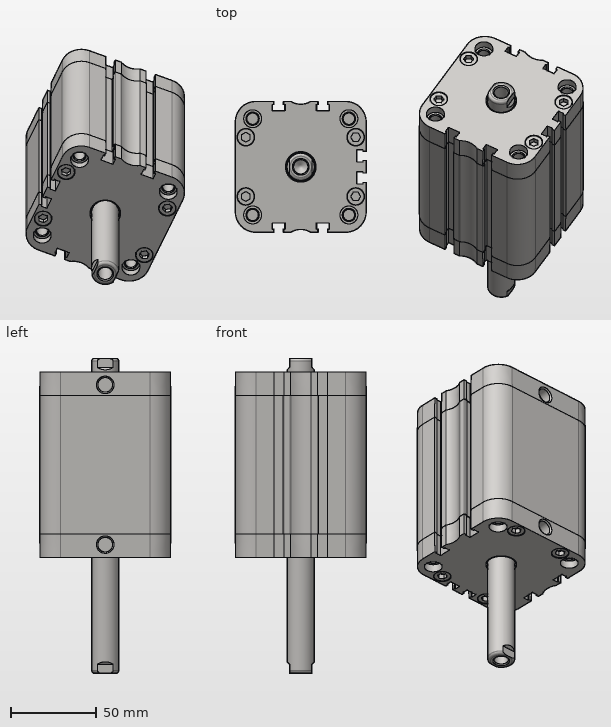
import cadquery as cq
import math


width = 77.0
body_length = 109.0
cap_height = 13.75
tube_length = body_length - 2 * cap_height
corner_radius = 12.2
bore_diameter = 63.0
cap_draft = 0.14
cap_draft_angle = math.degrees(math.atan(cap_draft / cap_height))

groove_half_width = 5.9
groove_depth = 1.7
groove_edge_round = 1.0

slot_depth = 5.5
slot_lip_thickness = 2.0
slot_undercut = 0.8
slot_outer_edge = 15.8
tube_slot_inner_edge = 10.3
tube_slot_edge_round = 0.5
cap_slot_inner_edge = 9.8
side_slot_offset = 6.45
side_slot_width = 5.4

edge_search = 0.1

rod_diameter = 16.0
upper_rod_extension = 8.0
lower_rod_extension = 68.0
rod_length = upper_rod_extension + body_length + lower_rod_extension
rod_end_round = 1.75
flat_across = 13.0
flat_length = 5.3
rod_bore_diameter = 8.38
rod_bore_depth = 20.0
rod_bore_mouth_diameter = 9.8
drill_point_half_angle = 59.0

wiper_recess_diameter = 18.0
wiper_recess_depth = 0.5
wiper_cone_mouth_diameter = 17.7
wiper_cone_end_diameter = 16.54
wiper_cone_depth = 1.0

mount_pitch = 56.5
mount_counterbore_diameter = 10.5
mount_counterbore_depth = 5.0
mount_countersink_diameter = 7.8
mount_thread_diameter = 6.65

screw_x = 32.25
screw_y = 17.4
screw_pocket_diameter = 10.3
screw_pocket_depth = 4.0
screw_head_diameter = 9.8
screw_head_recess = 0.3
hex_across_flats = 5.0
hex_depth = 3.0

port_height = 7.6
port_diameter = 8.57
port_mouth_diameter = 10.3
port_depth = 14.0


def cone_cut(mouth_diameter, end_diameter, depth):
    """Cone frustum with its mouth at z = 0, narrowing towards +Z."""
    return cq.Workplane("XY").add(cq.Solid.makeCone(mouth_diameter / 2, end_diameter / 2, depth))


def cylinder(diameter, height):
    return cq.Workplane("XY").circle(diameter / 2).extrude(height)


def body_outline():
    """Rounded square with a shallow concave groove in the -Y and +Y sides."""
    half = width / 2
    straight = half - corner_radius
    diagonal = straight + corner_radius * math.sqrt(0.5)
    groove = groove_half_width
    return (
        cq.Workplane("XY")
        .moveTo(-straight, -half)
        .lineTo(-groove, -half)
        .threePointArc((0, -half + groove_depth), (groove, -half))
        .lineTo(straight, -half)
        .threePointArc((diagonal, -diagonal), (half, -straight))
        .lineTo(half, straight)
        .threePointArc((diagonal, diagonal), (straight, half))
        .lineTo(groove, half)
        .threePointArc((0, half - groove_depth), (-groove, half))
        .lineTo(-straight, half)
        .threePointArc((-diagonal, diagonal), (-half, straight))
        .lineTo(-half, -straight)
        .threePointArc((-diagonal, -diagonal), (-straight, -half))
        .close()
    )


def t_slot(inner_edge, outer_edge, length):
    """Cutter for one T-slot open towards +Y, between two X positions of its mouth."""
    half = width / 2
    center = (inner_edge + outer_edge) / 2
    mouth_width = outer_edge - inner_edge
    undercut_height = slot_depth - slot_lip_thickness
    floor = half - slot_depth
    mouth = cq.Workplane("XY").box(mouth_width, slot_depth, length, centered=(True, False, False))
    undercut = cq.Workplane("XY").box(
        mouth_width + 2 * slot_undercut, undercut_height, length, centered=(True, False, False)
    )
    return mouth.union(undercut).translate((center, floor, 0))


def cut_slots(body, inner_edge, length):
    """Two T-slots in each of the -Y, +Y and +X sides."""
    slot = t_slot(inner_edge, slot_outer_edge, length)
    opposite_slot = slot.mirror("YZ")
    for cutter in (slot, opposite_slot):
        body = body.cut(cutter).cut(cutter.mirror("XZ"))
    for offset in (-side_slot_offset, side_slot_offset):
        side_slot = t_slot(offset - side_slot_width / 2, offset + side_slot_width / 2, length)
        body = body.cut(side_slot.rotate((0, 0, 0), (0, 0, 1), -90))
    return body


def rib_edges(x_offset):
    """Selector for the four long edges of the tube at the given X offset on its -Y and +Y faces."""
    selector = None
    for x_side in (-1, 1):
        for y_side in (-1, 1):
            x = x_side * x_offset
            y = y_side * width / 2
            low_corner = (x - edge_search, y - edge_search, -edge_search)
            high_corner = (x + edge_search, y + edge_search, tube_length + edge_search)
            box = cq.selectors.BoxSelector(low_corner, high_corner, boundingbox=True)
            selector = box if selector is None else selector + box
    return selector


def make_tube():
    tube = body_outline().extrude(tube_length).cut(cylinder(bore_diameter, tube_length))
    tube = cut_slots(tube, tube_slot_inner_edge, tube_length)
    tube = tube.edges(rib_edges(groove_half_width)).fillet(groove_edge_round)
    tube = tube.edges(rib_edges(tube_slot_inner_edge)).fillet(tube_slot_edge_round)
    return tube.translate((0, 0, cap_height))


def rod_passage():
    """Clearance for the rod, with the wiper recess at the outer face z = 0."""
    recess = cylinder(wiper_recess_diameter, wiper_recess_depth)
    cone = cone_cut(wiper_cone_mouth_diameter, wiper_cone_end_diameter, wiper_cone_depth)
    cone = cone.translate((0, 0, wiper_recess_depth))
    return cylinder(rod_diameter, cap_height).union(recess).union(cone)


def mounting_hole():
    """Counterbored and countersunk hole through the cap, from its outer face z = 0."""
    countersink_depth = (mount_countersink_diameter - mount_thread_diameter) / 2
    countersink = cone_cut(mount_countersink_diameter, mount_thread_diameter, countersink_depth)
    countersink = countersink.translate((0, 0, mount_counterbore_depth))
    counterbore = cylinder(mount_counterbore_diameter, mount_counterbore_depth)
    return cylinder(mount_thread_diameter, cap_height).union(counterbore).union(countersink)


def screw_recess(hex_turn):
    """Annular gap around a screw head, the head's small recess and its hexagon socket."""
    head = cylinder(screw_head_diameter, screw_pocket_depth).translate((0, 0, screw_head_recess))
    gap = cylinder(screw_pocket_diameter, screw_pocket_depth).cut(head)
    hex_across_corners = hex_across_flats / math.cos(math.radians(30))
    socket = cq.Workplane("XY").polygon(6, hex_across_corners).extrude(screw_head_recess + hex_depth)
    return gap.union(socket.rotate((0, 0, 0), (0, 0, 1), hex_turn))


def air_port():
    """Port bore with a 45 degree mouth, running along +X from the -X face."""
    mouth_depth = (port_mouth_diameter - port_diameter) / 2
    face_offset = cap_draft * (1 - port_height / cap_height)
    port = cylinder(port_diameter, port_depth)
    mouth = cone_cut(port_mouth_diameter, port_diameter, mouth_depth).translate((0, 0, face_offset))
    port = port.union(mouth).union(cylinder(port_mouth_diameter, face_offset))
    return port.rotate((0, 0, 0), (0, 1, 0), 90).translate((-width / 2, 0, port_height))


def make_cap():
    """End cap with its outer face at z = 0, widening towards the tube."""
    cap = body_outline().extrude(cap_height, taper=cap_draft_angle)
    cap = cap.mirror("XY").translate((0, 0, cap_height))
    cap = cut_slots(cap, cap_slot_inner_edge, cap_height)
    cap = cap.cut(rod_passage())
    for x_side in (-1, 1):
        hex_turn = 0 if x_side > 0 else 90
        for y_side in (-1, 1):
            mount_position = (x_side * mount_pitch / 2, y_side * mount_pitch / 2, 0)
            cap = cap.cut(mounting_hole().translate(mount_position))
            screw_position = (x_side * screw_x, y_side * screw_y, 0)
            cap = cap.cut(screw_recess(hex_turn).translate(screw_position))
    return cap.cut(air_port())


def wrench_flat():
    """Cutter for the +X flat at the rod end z = 0, running out at 45 degrees."""
    depth = (rod_diameter - flat_across) / 2
    inner = flat_across / 2
    outer = rod_diameter / 2
    return (
        cq.Workplane("XZ")
        .polyline([(inner, 0), (outer, 0), (outer, flat_length + depth), (inner, flat_length)])
        .close()
        .extrude(outer, both=True)
    )


def rod_end_bore():
    """Blind bore from z = 0 with a 45 degree mouth and a drill point."""
    mouth_depth = (rod_bore_mouth_diameter - rod_bore_diameter) / 2
    point_depth = rod_bore_diameter / 2 / math.tan(math.radians(drill_point_half_angle))
    point = cone_cut(rod_bore_diameter, 0, point_depth).translate((0, 0, rod_bore_depth))
    mouth = cone_cut(rod_bore_mouth_diameter, rod_bore_diameter, mouth_depth)
    return cylinder(rod_bore_diameter, rod_bore_depth).union(point).union(mouth)


def make_rod():
    rod = cylinder(rod_diameter, rod_length).edges("%CIRCLE").fillet(rod_end_round)
    flat = wrench_flat()
    end_cut = rod_end_bore().union(flat).union(flat.mirror("YZ"))
    rod = rod.cut(end_cut).cut(end_cut.mirror("XY").translate((0, 0, rod_length)))
    return rod.translate((0, 0, -lower_rod_extension))


tube = make_tube()
lower_cap = make_cap()
upper_cap = lower_cap.mirror("XY").translate((0, 0, body_length))
rod = make_rod()

result = cq.Compound.makeCompound([tube.val(), lower_cap.val(), upper_cap.val(), rod.val()])